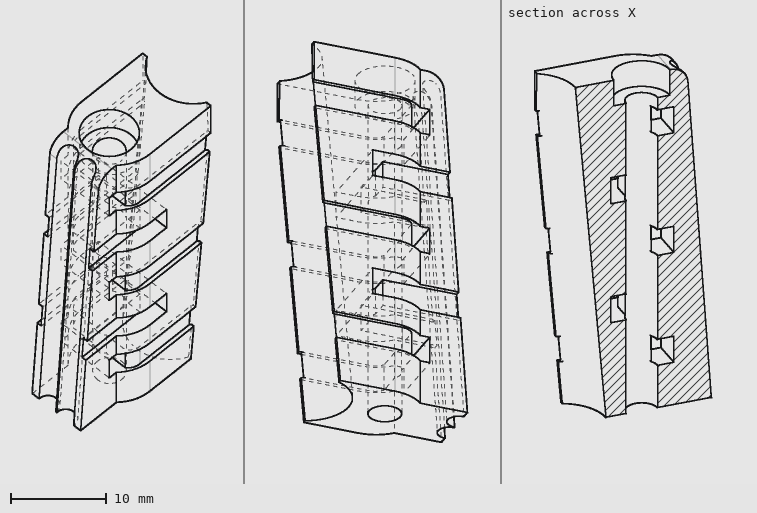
import cadquery as cq
import math

height = 39.5
half_width = 4.995
back_y = 10.05
front_y = -7.85
back_lean = math.tan(math.radians(5))
front_lean = math.tan(math.radians(4))
back_bottom_y = 7.07
top_round = 2.0

round_center_y = 0.968
neck_half_width = 3.55

saddle_radius = 5.0
saddle_bottom_y = 9.1

hole_diameter = 3.5
bore_diameter = 6.3
bore_depth = 3.0

groove_radius = 1.22
groove_offset = 1.3
groove_depth = 1.3

strap_height = 3.0
back_strap_levels = (5.0, 17.95, 32.0)
front_strap_levels = (11.05, 25.05)
back_strap_half_width = 4.5
back_strap_core_y = -1.45
back_strap_wall_y = -3.6
back_core_round_y = -0.08
back_core_front_half_width = 3.8
front_strap_half_width = 3.0
front_strap_core_y = 1.45
front_strap_wall_y = 3.45

reach = 23.7


def box(x_size, y_min, y_max, z_min, z_size):
    """Box centred on X."""
    return (
        cq.Workplane("XY")
        .box(x_size, y_max - y_min, z_size, centered=(True, False, False))
        .translate((0, y_min, z_min))
    )


def leaning_cylinder(x, y_bottom, radius, lean):
    """Cylinder whose axis crosses z = 0 at (x, y_bottom) and moves toward +Y going up."""
    direction = cq.Vector(0, lean, 1)
    start = cq.Vector(x, y_bottom, 0) - direction * reach
    length = (height + 2 * reach) * direction.Length
    return cq.Workplane(cq.Solid.makeCylinder(radius, length, start, direction))


def make_body():
    """Plan outline intersected with the leaning side outline."""
    neck_y = round_center_y - math.sqrt(half_width**2 - neck_half_width**2)
    middle_angle = math.atan2(round_center_y - neck_y, neck_half_width) / 2
    middle_x = half_width * math.cos(middle_angle)
    middle_y = round_center_y - half_width * math.sin(middle_angle)
    plan = (
        cq.Workplane("XY")
        .moveTo(-half_width, back_y)
        .lineTo(half_width, back_y)
        .lineTo(half_width, round_center_y)
        .threePointArc((middle_x, middle_y), (neck_half_width, neck_y))
        .lineTo(neck_half_width, front_y)
        .lineTo(-neck_half_width, front_y)
        .lineTo(-neck_half_width, neck_y)
        .threePointArc((-middle_x, middle_y), (-half_width, round_center_y))
        .close()
        .extrude(height)
    )
    side = (
        cq.Workplane("YZ")
        .polyline([
            (front_y, 0),
            (back_bottom_y, 0),
            (back_bottom_y + back_lean * height, height),
            (front_y + front_lean * height, height),
        ])
        .close()
        .extrude(half_width, both=True)
        .faces(">Z")
        .edges("<Y")
        .fillet(top_round)
    )
    return plan.intersect(side)


def back_strap_channel(level):
    """Band around the back core, opening through the neck."""
    round_radius = (
        (back_strap_half_width - back_core_front_half_width) ** 2
        + (back_core_round_y - back_strap_core_y) ** 2
    ) / (2 * (back_strap_half_width - back_core_front_half_width))
    round_center_x = back_strap_half_width - round_radius
    middle_angle = math.asin((back_core_round_y - back_strap_core_y) / round_radius) / 2
    middle_x = round_center_x + round_radius * math.cos(middle_angle)
    middle_y = back_core_round_y - round_radius * math.sin(middle_angle)
    core = (
        cq.Workplane("XY", origin=(0, 0, level))
        .moveTo(-back_strap_half_width, reach)
        .lineTo(back_strap_half_width, reach)
        .lineTo(back_strap_half_width, back_core_round_y)
        .threePointArc((middle_x, middle_y), (back_core_front_half_width, back_strap_core_y))
        .lineTo(-back_core_front_half_width, back_strap_core_y)
        .threePointArc((-middle_x, middle_y), (-back_strap_half_width, back_core_round_y))
        .close()
        .extrude(strap_height)
    )
    return box(reach, back_strap_wall_y, reach, level, strap_height).cut(core)


def front_strap_channel(level):
    """Band around the front core, opening through the middle of the block."""
    band = box(reach, -reach, front_strap_wall_y, level, strap_height)
    core = box(2 * front_strap_half_width, -reach, front_strap_core_y, level, strap_height)
    return band.cut(core)


result = make_body()

result = result.cut(
    leaning_cylinder(0, saddle_bottom_y, saddle_radius, back_lean)
)

groove_axis_y = front_y + groove_depth - groove_radius
for side_sign in (-1, 1):
    result = result.cut(
        leaning_cylinder(side_sign * groove_offset, groove_axis_y, groove_radius, front_lean)
    )

for strap_level in back_strap_levels:
    result = result.cut(back_strap_channel(strap_level))
for strap_level in front_strap_levels:
    result = result.cut(front_strap_channel(strap_level))

result = (
    result.faces(">Z")
    .workplane(origin=(0, 0, height))
    .cboreHole(hole_diameter, bore_diameter, bore_depth)
)